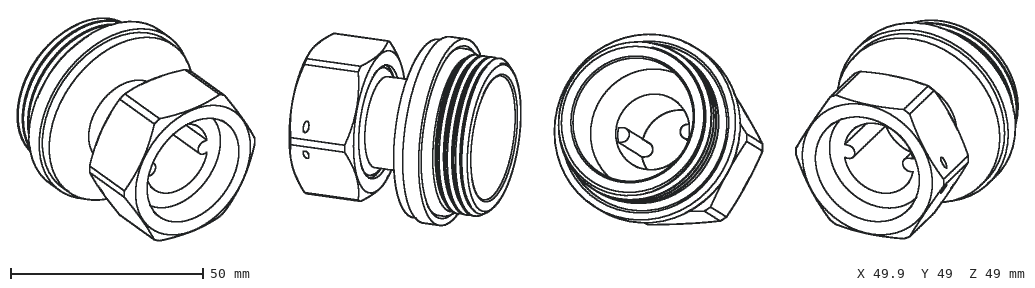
import cadquery as cq
import math

TOTAL_LENGTH = 49.9

THREAD_RADIUS = 20.8
THREAD_ROOT_RADIUS = 19.55
THREAD_PITCH = 2.3
THREAD_CREST_WIDTH = 0.45
THREAD_ROOT_WIDTH = 0.4
THREAD_FIRST_CREST = 3.45
THREAD_END = 8.7
MOUTH_CHAMFER = 1.55

FLANGE_START = 11.55
FLANGE_END = 15.95
FLANGE_RADIUS = 24.5
STEP_END = 18.9
STEP_RADIUS = 23.45
NECK_START = 20.7
NECK_RADIUS = 12.0
COLLAR_START = 31.4
COLLAR_RADIUS = 14.15
COLLAR_CONE_LENGTH = 1.25
COLLAR_END = 42.9
SEAL_SEAT_RADIUS = 19.45
RECESS_MOUTH_RADIUS = 22.65

MOUTH_BORE_RADIUS = 16.25
MOUTH_BORE_CHAMFER = 0.45
BORE_CONE_START = 16.95
BORE_CONE_END = 18.75
BORE_RADIUS = 10.0
LUG_WIDTH = 3.85
LUG_GAP = 13.75

SEAL_RADIUS = 21.95
SEAL_ROUND = 1.6
SEAL_ROUND_END = 11.15

NUT_START = 31.95
NUT_ACROSS_FLATS = 37.65
NUT_CORNER_RADIUS = 21.2
NUT_FACE_RADIUS = 18.65
NUT_CHAMFER_ANGLE = 30.0
NUT_BORE_RADIUS = 14.9
SEAL_HOLE_RADIUS = 0.75
SEAL_HOLE_X = 44.8
SEAL_HOLE_Y = 19.5

WIRE_RADIUS = 0.6
WIRE_X = 33.45
WIRE_RING_RADIUS = (COLLAR_RADIUS + NUT_BORE_RADIUS) / 2


def revolve(outline):
    """Turn a closed outline drawn in (X, radius) about the X axis."""
    return outline.revolve(360, (0, 0, 0), (1, 0, 0))


def turned(points):
    return revolve(cq.Workplane("XY").polyline(points).close())


def make_thread_groove():
    """Helical groove between the crests, open at the mouth and at the thread end."""
    overshoot = 0.25
    depth = THREAD_RADIUS - THREAD_ROOT_RADIUS
    root_half = THREAD_ROOT_WIDTH / 2
    crest_half = (THREAD_PITCH - THREAD_CREST_WIDTH) / 2
    outer_half = crest_half + (crest_half - root_half) * overshoot / depth
    outer_radius = THREAD_RADIUS + overshoot
    start = THREAD_FIRST_CREST - 2.5 * THREAD_PITCH
    length = 5.5 * THREAD_PITCH
    helix = cq.Wire.makeHelix(THREAD_PITCH, length, THREAD_ROOT_RADIUS)
    profile = (
        cq.Workplane("XZ")
        .moveTo(THREAD_ROOT_RADIUS, -root_half)
        .lineTo(outer_radius, -outer_half)
        .lineTo(outer_radius, outer_half)
        .lineTo(THREAD_ROOT_RADIUS, root_half)
        .close()
    )
    groove = profile.sweep(cq.Workplane(helix), isFrenet=True)
    groove = groove.rotate((0, 0, 0), (0, 1, 0), 90).rotate((0, 0, 0), (1, 0, 0), 180)
    return groove.translate((start, 0, 0))


def make_seal():
    recess_depth = RECESS_MOUTH_RADIUS - SEAL_RADIUS
    floor = FLANGE_START + recess_depth
    nose = SEAL_ROUND_END - SEAL_ROUND
    mid = SEAL_ROUND * math.sqrt(0.5)
    round_radius = SEAL_RADIUS - SEAL_ROUND
    return revolve(
        cq.Workplane("XY")
        .moveTo(nose, SEAL_SEAT_RADIUS)
        .lineTo(nose, round_radius)
        .threePointArc((SEAL_ROUND_END - mid, round_radius + mid), (SEAL_ROUND_END, SEAL_RADIUS))
        .lineTo(floor, SEAL_RADIUS)
        .lineTo(floor, SEAL_SEAT_RADIUS)
        .close()
    )


def make_wire_ring():
    return revolve(cq.Workplane("XY").moveTo(WIRE_X, WIRE_RING_RADIUS).circle(WIRE_RADIUS))


def make_lugs():
    """Two round-tipped lugs on the bore wall, facing each other along Y."""
    tip = LUG_WIDTH / 2
    tip_centre = LUG_GAP / 2 + tip
    wall_radius = (BORE_RADIUS + NECK_RADIUS) / 2
    root_length = wall_radius - tip_centre
    root_centre = tip_centre + root_length / 2
    length = COLLAR_END - NECK_START
    plane = cq.Workplane("YZ", origin=(NECK_START, 0, 0))
    tips = plane.pushPoints([(-tip_centre, 0), (tip_centre, 0)]).circle(tip).extrude(length)
    roots = (
        plane.pushPoints([(-root_centre, 0), (root_centre, 0)])
        .rect(root_length, LUG_WIDTH)
        .extrude(length)
    )
    return tips.union(roots)


def make_body():
    recess_depth = RECESS_MOUTH_RADIUS - SEAL_RADIUS
    blank = turned([
        (0, 0),
        (0, THREAD_RADIUS - MOUTH_CHAMFER),
        (MOUTH_CHAMFER, THREAD_RADIUS),
        (THREAD_END, THREAD_RADIUS),
        (THREAD_END + THREAD_RADIUS - SEAL_SEAT_RADIUS, SEAL_SEAT_RADIUS),
        (FLANGE_START + recess_depth, SEAL_SEAT_RADIUS),
        (FLANGE_START + recess_depth, SEAL_RADIUS),
        (FLANGE_START, RECESS_MOUTH_RADIUS),
        (FLANGE_START, FLANGE_RADIUS),
        (FLANGE_END, FLANGE_RADIUS),
        (FLANGE_END, STEP_RADIUS),
        (STEP_END, STEP_RADIUS),
        (NECK_START, NECK_RADIUS),
        (COLLAR_START, NECK_RADIUS),
        (COLLAR_START + COLLAR_CONE_LENGTH, COLLAR_RADIUS),
        (COLLAR_END, COLLAR_RADIUS),
        (COLLAR_END, 0),
    ])
    bore = turned([
        (0, 0),
        (0, MOUTH_BORE_RADIUS + MOUTH_BORE_CHAMFER),
        (MOUTH_BORE_CHAMFER, MOUTH_BORE_RADIUS),
        (BORE_CONE_START, MOUTH_BORE_RADIUS),
        (BORE_CONE_END, BORE_RADIUS),
        (COLLAR_END, BORE_RADIUS),
        (COLLAR_END, 0),
    ])
    body = blank.cut(make_thread_groove()).cut(bore).union(make_lugs())
    return body.cut(make_wire_ring())


def make_nut():
    length = TOTAL_LENGTH - NUT_START
    corner_distance = NUT_ACROSS_FLATS / math.cos(math.radians(30))
    hexagon = (
        cq.Workplane("YZ", origin=(NUT_START, 0, 0)).polygon(6, corner_distance).extrude(length)
    )
    chamfer = (NUT_CORNER_RADIUS - NUT_FACE_RADIUS) * math.tan(math.radians(NUT_CHAMFER_ANGLE))
    envelope = turned([
        (NUT_START, 0),
        (NUT_START, NUT_FACE_RADIUS),
        (NUT_START + chamfer, NUT_CORNER_RADIUS),
        (TOTAL_LENGTH - chamfer, NUT_CORNER_RADIUS),
        (TOTAL_LENGTH, NUT_FACE_RADIUS),
        (TOTAL_LENGTH, 0),
    ])
    bore = cq.Workplane("YZ", origin=(NUT_START, 0, 0)).circle(NUT_BORE_RADIUS).extrude(length)
    wire_hole = (
        cq.Workplane("XY")
        .moveTo(SEAL_HOLE_X, SEAL_HOLE_Y)
        .circle(SEAL_HOLE_RADIUS)
        .extrude(NUT_ACROSS_FLATS, both=True)
    )
    return hexagon.intersect(envelope).cut(bore).cut(wire_hole).cut(make_wire_ring())


body = make_body()
seal = make_seal()
nut = make_nut()
wire_ring = make_wire_ring()
result = cq.Compound.makeCompound([body.val(), seal.val(), nut.val(), wire_ring.val()])